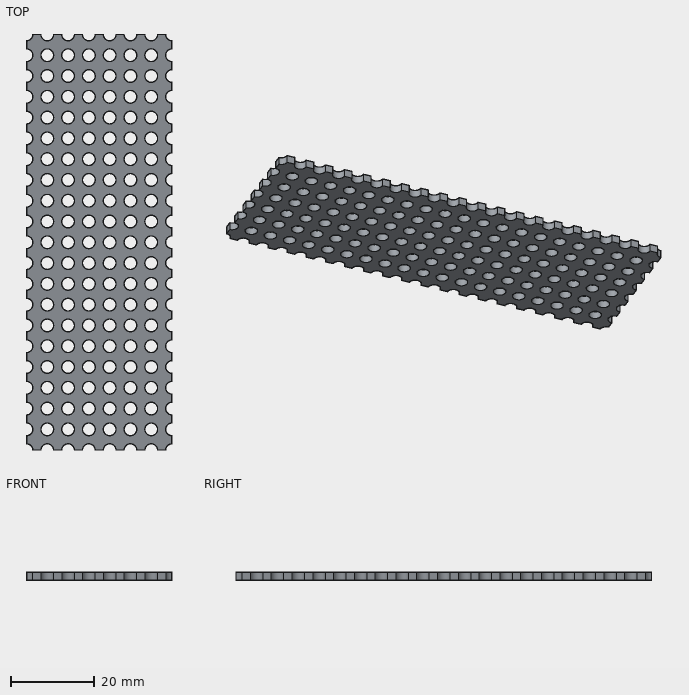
import cadquery as cq

pitch = 5.0
cells_x = 7
cells_y = 20
thickness = 2.0
hole_diameter = 3.0

width = cells_x * pitch
length = cells_y * pitch


def make_plate():
    """Flat rectangular plate, centred on the origin in X and Y, resting on Z = 0."""
    return cq.Workplane("XY").box(width, length, thickness, centered=(True, True, False))


def make_hole_cutters():
    """Cylinders at every grid node, including those on the plate's edges and corners."""
    return (
        cq.Workplane("XY")
        .rarray(pitch, pitch, cells_x + 1, cells_y + 1)
        .circle(hole_diameter / 2)
        .extrude(thickness)
    )


result = make_plate().cut(make_hole_cutters())